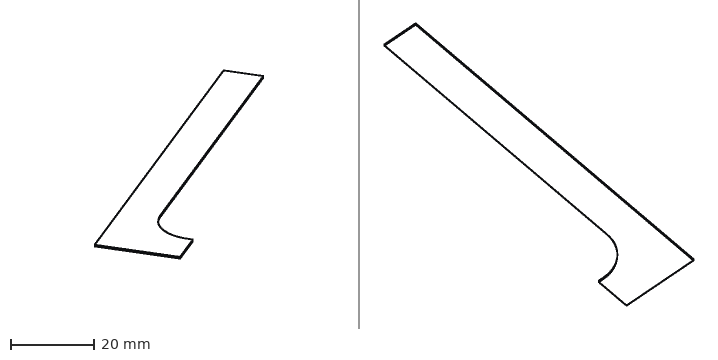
import cadquery as cq

length = 100.0
foot_length = 21.5
strip_width = 10.0
corner_radius = 10.0
thickness = 0.5


def l_profile():
    """L-shaped outline: a long strip along Y with a short foot along +X."""
    return (
        cq.Workplane("XY")
        .moveTo(0, 0)
        .lineTo(foot_length, 0)
        .lineTo(foot_length, strip_width)
        .lineTo(strip_width, strip_width)
        .lineTo(strip_width, length)
        .lineTo(0, length)
        .close()
    )


def round_inner_corner(plate):
    """Fillet the concave edge where the strip meets the foot."""
    inner_corner = cq.selectors.NearestToPointSelector((strip_width, strip_width, thickness / 2))
    return plate.edges("|Z").edges(inner_corner).fillet(corner_radius)


result = round_inner_corner(l_profile().extrude(thickness))